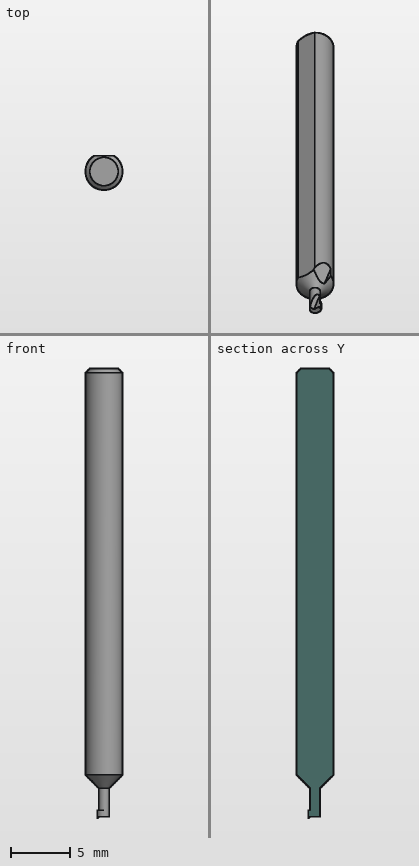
import cadquery as cq
import math

length = 38.1
shank_radius = 1.58
flat_y = 1.353
top_chamfer = 0.4

neck_radius = 0.45
cone_bottom_z = 2.55
cone_top_z = cone_bottom_z + shank_radius - neck_radius

neck_end_z = 0.1
head_height = 0.7
head_offset = 0.1
tip_width = 0.15

notch_turn = 18.0
notch_tilt = 20.0
shank_notch_z = 4.9
neck_notch_z = 1.68


def make_shank():
    body = (
        cq.Workplane("XZ")
        .moveTo(0, neck_end_z)
        .lineTo(neck_radius, neck_end_z)
        .lineTo(neck_radius, cone_bottom_z)
        .lineTo(shank_radius, cone_top_z)
        .lineTo(shank_radius, length - top_chamfer)
        .lineTo(shank_radius - top_chamfer, length)
        .lineTo(0, length)
        .close()
        .revolve(360, (0, 0), (0, 1))
    )
    behind_flat = (
        cq.Workplane("XY")
        .box(2 * shank_radius, shank_radius, length, centered=(True, False, False))
        .translate((0, flat_y, 0))
    )
    return body.cut(behind_flat)


def make_head():
    """Offset half cylinder on the -Y side, its base rising from the tip."""
    tip_x = -head_offset - neck_radius
    far_x = -head_offset + neck_radius
    cylinder = (
        cq.Workplane("XY")
        .center(-head_offset, 0)
        .circle(neck_radius)
        .extrude(head_height)
    )
    side_profile = (
        cq.Workplane("XZ")
        .moveTo(tip_x, 0)
        .lineTo(tip_x + tip_width, neck_end_z)
        .lineTo(far_x, neck_end_z)
        .lineTo(far_x, head_height)
        .lineTo(tip_x, head_height)
        .close()
        .extrude(neck_radius)
    )
    return cylinder.intersect(side_profile)


def make_notch(radius, top_z, bottom_z):
    """Wedge on the +Y half, deepening from the surface at top_z down to bottom_z."""
    depth = (top_z - bottom_z) * math.tan(math.radians(notch_tilt))
    wedge = (
        cq.Workplane("XZ")
        .moveTo(-radius, top_z)
        .lineTo(depth - radius, bottom_z)
        .lineTo(-radius, bottom_z)
        .close()
        .extrude(radius, both=True)
        .rotate((0, 0, 0), (0, 0, 1), -notch_turn)
    )
    rear_half = (
        cq.Workplane("XY")
        .box(4 * radius, 2 * radius, top_z, centered=(True, False, False))
    )
    return wedge.intersect(rear_half)


shank_notch = make_notch(shank_radius, shank_notch_z, cone_bottom_z)
neck_notch = make_notch(neck_radius, neck_notch_z, 0)

result = make_shank().cut(shank_notch).cut(neck_notch).union(make_head())